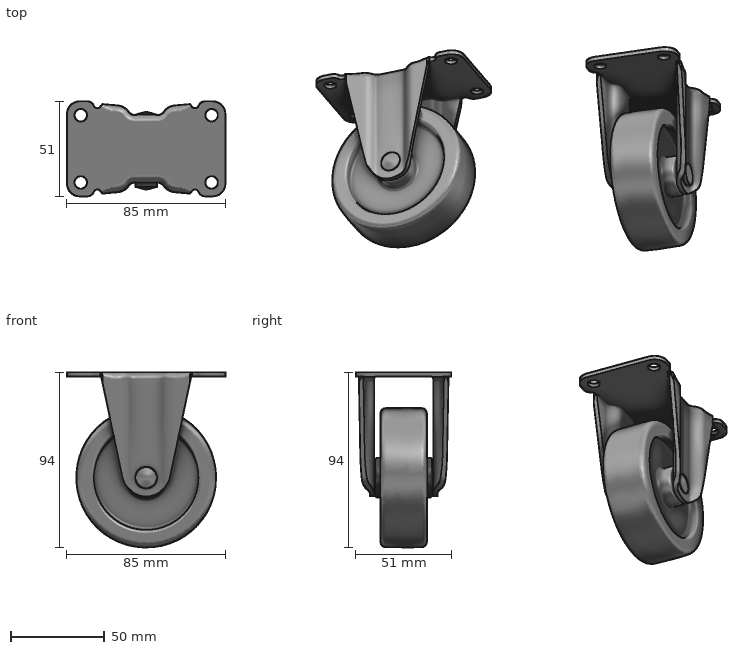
import cadquery as cq
import math


OVERALL_HEIGHT = 94
PLATE_LENGTH = 85.0
PLATE_WIDTH = 51.0
SHEET = 2.4
CORNER_RADIUS = 7.05
HOLE_SPACING_X = 70.0
HOLE_SPACING_Y = 36.0
HOLE_DIAMETER = 6.6

NOTCH_X = 26.1
NOTCH_RADIUS = 2.0
NOTCH_FLOOR_Y = 21.8
NOTCH_SWEEP = math.radians(50)
END_PLATE_ROOT_X = 23.0
END_PLATE_ROOT_Y = 18.8
SHOULDER_RADIUS = 4.0

LEG_FACE_Y = 18.1
LEG_FLAT_HALF = 6.1
STEP_ANGLE = math.radians(55)
WING_ANGLE = math.radians(5)
INNER_STEP_RADIUS = 4.0
OUTER_STEP_RADIUS = 8.2
WING_END_X = 25.4
BEND_RADIUS = 4.3
WING_BEND_RADIUS = 1.5
INNER_BEND_RADIUS = 1.1

LEG_TIP_RADIUS = 13.0
LEG_TIP_DROP = 10.1
TAPER_ANGLE = math.radians(12)

WHEEL_RADIUS = 37.5
TREAD_EDGE_RADIUS = 37.1
WHEEL_WIDTH = 25.0
TREAD_FILLET = 3.0
RECESS_RADIUS = 28.0
RECESS_DEPTH = 5.0
RECESS_FILLET = 2.0
HUB_RADIUS = 10.7
HUB_LENGTH = 30.5
HUB_RIM_FILLET = 1.4
HUB_FOOT_FILLET = 2.3
MATCH_TOLERANCE = 0.01

SHAFT_RADIUS = 5.45
HEAD_RADIUS = 5.8
HEAD_HEIGHT = 2.3
TAIL_HEIGHT = 0.3
CONE_HEIGHT = 1.5

AXLE_DROP = OVERALL_HEIGHT - WHEEL_RADIUS
PLATE_BOTTOM = AXLE_DROP - SHEET


def leg_face_points(offset):
    """Joints and arc midpoints of a leg face on the +X side, `offset` inside the outer face."""
    inner_radius = INNER_STEP_RADIUS + offset
    outer_radius = OUTER_STEP_RADIUS - offset
    face_y = LEG_FACE_Y - offset

    def on_inner_arc(angle):
        return (LEG_FLAT_HALF + inner_radius * math.sin(angle),
                face_y + inner_radius * (1 - math.cos(angle)))

    inflection = on_inner_arc(STEP_ANGLE)

    def on_outer_arc(angle):
        return (inflection[0] + outer_radius * (math.sin(STEP_ANGLE) - math.sin(angle)),
                inflection[1] + outer_radius * (math.cos(angle) - math.cos(STEP_ANGLE)))

    wing_start = on_outer_arc(WING_ANGLE)
    wing_end = (WING_END_X, wing_start[1] + (WING_END_X - wing_start[0]) * math.tan(WING_ANGLE))
    return [(LEG_FLAT_HALF, face_y), on_inner_arc(STEP_ANGLE / 2), inflection,
            on_outer_arc((STEP_ANGLE + WING_ANGLE) / 2), wing_start, wing_end]


def waisted_block(offset, bottom, top):
    """Upright block between the two leg faces, narrow in the middle and wide at both ends."""
    half = leg_face_points(offset)
    face = [(-x, y) for x, y in reversed(half)] + half
    last_x, last_y = face[-1]
    sketch = cq.Workplane("XY", origin=(0, 0, bottom)).moveTo(-last_x, -last_y)
    for side in (1, -1):
        p = [(side * x, side * y) for x, y in face]
        sketch = (
            sketch.lineTo(*p[0])
            .lineTo(*p[1])
            .threePointArc(p[2], p[3])
            .threePointArc(p[4], p[5])
            .lineTo(*p[6])
            .threePointArc(p[7], p[8])
            .threePointArc(p[9], p[10])
            .lineTo(*p[11])
        )
    return sketch.close().extrude(top - bottom)


def round_folds(block, radius, wing_radius):
    """Round the block's top edges along the legs, down to `wing_radius` at the wing ends."""
    fillet = cq.occ_impl.shapes.BRepFilletAPI_MakeFillet(block.val().wrapped)
    for middle_edge in block.faces(">Z").edges("|X").vals():
        fillet.Add(radius, middle_edge.wrapped)
    for chain in range(1, fillet.NbContours() + 1):
        last = fillet.NbEdges(chain)
        fillet.SetRadius(wing_radius, radius, chain, 1)
        for i in range(2, last):
            fillet.SetRadius(radius, chain, fillet.Edge(chain, i))
        fillet.SetRadius(radius, wing_radius, chain, last)
    return cq.Workplane(cq.Shape.cast(fillet.Shape()))


def leg_silhouette():
    """Tapered outline of both legs, round at the tip, extruded across the bracket."""
    centre_z = LEG_TIP_RADIUS - LEG_TIP_DROP
    tangent_x = LEG_TIP_RADIUS * math.cos(TAPER_ANGLE)
    tangent_z = centre_z - LEG_TIP_RADIUS * math.sin(TAPER_ANGLE)
    top_x = tangent_x + (AXLE_DROP - tangent_z) * math.tan(TAPER_ANGLE)
    return (
        cq.Workplane("XZ")
        .moveTo(-top_x, AXLE_DROP)
        .lineTo(-tangent_x, tangent_z)
        .threePointArc((0, -LEG_TIP_DROP), (tangent_x, tangent_z))
        .lineTo(top_x, AXLE_DROP)
        .close()
        .extrude(PLATE_WIDTH, both=True)
    )


def notch_end():
    """Point where the round notch passes into its straight flare."""
    return (NOTCH_X - NOTCH_RADIUS * math.sin(NOTCH_SWEEP),
            NOTCH_FLOOR_Y + NOTCH_RADIUS * (1 - math.cos(NOTCH_SWEEP)))


def notch_flares():
    """Upright wedges that carry the four notches on, at a slant, through the ends of the wings."""
    end_x, end_y = notch_end()
    outer_y = PLATE_WIDTH / 2
    flare_x = end_x - (outer_y - end_y) / math.tan(NOTCH_SWEEP)
    wedge = (
        cq.Workplane("XY")
        .polyline([(end_x, end_y), (flare_x, outer_y), (WING_END_X, outer_y), (WING_END_X, end_y)])
        .close()
        .extrude(AXLE_DROP)
    )
    pair = wedge.union(wedge.mirror("XZ"))
    return pair.union(pair.mirror("YZ"))


def end_plate():
    """The +X end of the plate with its notches, up to where it meets the folds."""
    half_width = PLATE_WIDTH / 2
    half_length = PLATE_LENGTH / 2
    notch_y = NOTCH_FLOOR_Y + NOTCH_RADIUS
    shoulder_y = half_width - SHOULDER_RADIUS
    centre_distance = SHOULDER_RADIUS + NOTCH_RADIUS
    rise = notch_y - shoulder_y
    shoulder_x = NOTCH_X + math.sqrt(centre_distance**2 - rise**2)
    notch_angle = math.atan2(rise, NOTCH_X - shoulder_x)
    joint_x = shoulder_x + SHOULDER_RADIUS * math.cos(notch_angle)
    joint_y = shoulder_y + SHOULDER_RADIUS * math.sin(notch_angle)
    middle_angle = (math.pi / 2 + notch_angle) / 2
    shoulder_middle = (shoulder_x + SHOULDER_RADIUS * math.cos(middle_angle),
                       shoulder_y + SHOULDER_RADIUS * math.sin(middle_angle))
    half = (
        cq.Workplane("XY", origin=(0, 0, PLATE_BOTTOM))
        .moveTo(half_length, 0)
        .lineTo(half_length, half_width)
        .lineTo(shoulder_x, half_width)
        .threePointArc(shoulder_middle, (joint_x, joint_y))
        .threePointArc((NOTCH_X, NOTCH_FLOOR_Y), notch_end())
        .lineTo(END_PLATE_ROOT_X, END_PLATE_ROOT_Y)
        .lineTo(END_PLATE_ROOT_X, 0)
        .close()
        .extrude(SHEET)
    )
    plate = half.union(half.mirror("XZ")).clean()
    return plate.edges("|Z and >X").fillet(CORNER_RADIUS)


def make_bracket():
    """Folded sheet: hollow waisted middle trimmed to two legs, plus the two plate ends."""
    outside = round_folds(waisted_block(0, -LEG_TIP_DROP, AXLE_DROP), BEND_RADIUS, WING_BEND_RADIUS)
    inside = round_folds(
        waisted_block(SHEET, -LEG_TIP_DROP, PLATE_BOTTOM), INNER_BEND_RADIUS, INNER_BEND_RADIUS
    )
    bracket = outside.cut(inside).intersect(leg_silhouette()).cut(notch_flares())
    right_end = end_plate()
    bracket = bracket.union(right_end).union(right_end.mirror("YZ"))
    holes = (
        cq.Workplane("XY", origin=(0, 0, PLATE_BOTTOM))
        .rect(HOLE_SPACING_X, HOLE_SPACING_Y, forConstruction=True)
        .vertices()
        .circle(HOLE_DIAMETER / 2)
        .extrude(SHEET)
    )
    axle_hole = cq.Workplane("XZ").circle(SHAFT_RADIUS).extrude(PLATE_WIDTH / 2, both=True)
    return bracket.cut(holes).cut(axle_hole)


def make_wheel():
    """Turned wheel: crowned tread, dished on both sides around a central hub."""
    half_width = WHEEL_WIDTH / 2
    hub_end = HUB_LENGTH / 2
    web_face = half_width - RECESS_DEPTH
    wheel = (
        cq.Workplane("XY")
        .moveTo(SHAFT_RADIUS, -hub_end)
        .lineTo(HUB_RADIUS, -hub_end)
        .lineTo(HUB_RADIUS, -web_face)
        .lineTo(RECESS_RADIUS, -web_face)
        .lineTo(RECESS_RADIUS, -half_width)
        .lineTo(TREAD_EDGE_RADIUS, -half_width)
        .threePointArc((WHEEL_RADIUS, 0), (TREAD_EDGE_RADIUS, half_width))
        .lineTo(RECESS_RADIUS, half_width)
        .lineTo(RECESS_RADIUS, web_face)
        .lineTo(HUB_RADIUS, web_face)
        .lineTo(HUB_RADIUS, hub_end)
        .lineTo(SHAFT_RADIUS, hub_end)
        .close()
        .revolve(360, (0, 0, 0), (0, 1, 0))
    )

    def circles(radius, y):
        """Both circular edges of the given radius, at +y and -y."""
        return [edge for edge in wheel.edges("%CIRCLE").vals()
                if math.isclose(edge.radius(), radius, abs_tol=MATCH_TOLERANCE)
                and math.isclose(abs(edge.Center().y), y, abs_tol=MATCH_TOLERANCE)]

    roundings = [
        (TREAD_FILLET, TREAD_EDGE_RADIUS, half_width),
        (RECESS_FILLET, RECESS_RADIUS, half_width),
        (RECESS_FILLET, RECESS_RADIUS, web_face),
        (HUB_FOOT_FILLET, HUB_RADIUS, web_face),
        (HUB_RIM_FILLET, HUB_RADIUS, hub_end),
    ]
    for fillet, radius, y in roundings:
        wheel = wheel.newObject(circles(radius, y)).fillet(fillet)
    return wheel


def make_axle():
    """Turned pin with a cone at each end and a wider head outside the -Y leg."""
    head_y = -LEG_FACE_Y - HEAD_HEIGHT
    tail_y = LEG_FACE_Y + TAIL_HEIGHT
    return (
        cq.Workplane("XY")
        .moveTo(0, head_y - CONE_HEIGHT)
        .lineTo(HEAD_RADIUS, head_y)
        .lineTo(HEAD_RADIUS, -LEG_FACE_Y)
        .lineTo(SHAFT_RADIUS, -LEG_FACE_Y)
        .lineTo(SHAFT_RADIUS, tail_y)
        .lineTo(0, tail_y + CONE_HEIGHT)
        .close()
        .revolve(360, (0, 0, 0), (0, 1, 0))
    )


bracket = make_bracket()
wheel = make_wheel()
axle = make_axle()
result = cq.Compound.makeCompound([bracket.solids().val(), wheel.solids().val(), axle.val()])